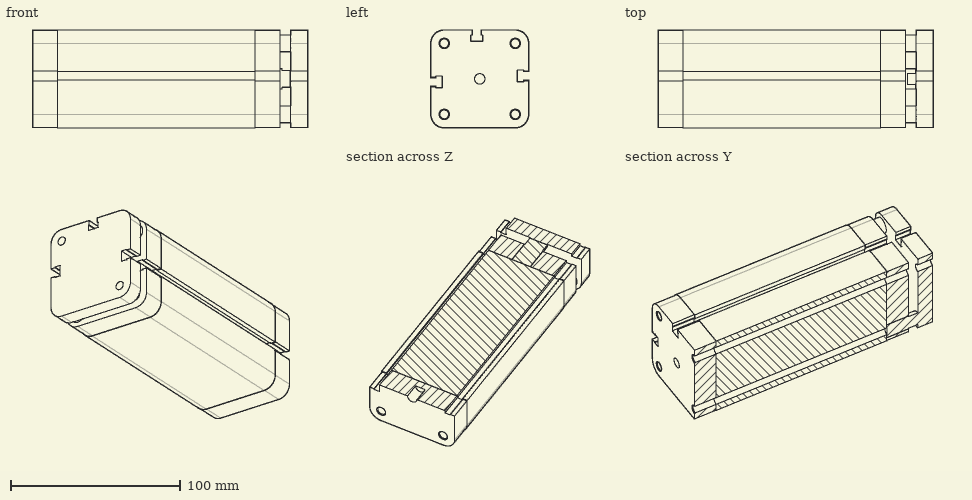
import cadquery as cq


LENGTH = 162.5
CAP_LENGTH = 14.8
BARREL_LENGTH = 116.5
PLATE_THICKNESS = 10.2
BARREL_END = CAP_LENGTH + BARREL_LENGTH
FRONT_CAP_END = BARREL_END + CAP_LENGTH
PLATE_START = LENGTH - PLATE_THICKNESS

BARREL_WIDTH = 58.0
CAP_WIDTH = 57.5
CORNER_OFFSET = 21.0

SLOT_OFFSET = 1.8
SLOT_FLOOR = 22.3
SLOT_NECK_BOTTOM = 25.8
CAP_NECK_WIDTH = 5.8
BARREL_NECK_WIDTH = 4.9
SLOT_WIDTH = 6.8
SLOT_ANGLES = (0, 90, -90)

HOLE_DIAMETER = 5.2
HOLE_CHAMFER = 0.5
PORT_DIAMETER = 6.2
PORT_DEPTH = 9.8

ROD_DIAMETER = 12.0
ROD_ACROSS_FLATS = 10.0
ROD_CHAMFER = 0.3
FLAT_SETBACK = 1.1
GUIDE_DIAMETER = 10.0

HOLE_CORNERS = [(CORNER_OFFSET * y, CORNER_OFFSET * z) for y in (-1, 1) for z in (-1, 1)]
GUIDE_CORNERS = [(CORNER_OFFSET, CORNER_OFFSET), (-CORNER_OFFSET, -CORNER_OFFSET)]
OPEN_CORNERS = [(-CORNER_OFFSET, CORNER_OFFSET), (CORNER_OFFSET, -CORNER_OFFSET)]


def cylinders(centres, diameter, start, end):
    """Round bars along X at the given (y, z) centres."""
    start_plane = cq.Workplane("YZ", origin=(start, 0, 0))
    return start_plane.pushPoints(centres).circle(diameter / 2).extrude(end - start)


def slot_cutter(start, end, neck_width):
    """T-slot in the +Z side."""

    def bar(width, bottom, top):
        return (
            cq.Workplane("YZ", origin=(start, 0, 0))
            .center(SLOT_OFFSET, (bottom + top) / 2)
            .rect(width, top - bottom)
            .extrude(end - start)
        )

    return bar(SLOT_WIDTH, SLOT_FLOOR, SLOT_NECK_BOTTOM).union(bar(neck_width, SLOT_FLOOR, BARREL_WIDTH / 2))


def slotted_block(start, end, width, neck_width):
    """Square bar along X with rounded long edges and the three T-slots."""
    block = (
        cq.Workplane("YZ", origin=(start, 0, 0))
        .rect(width, width)
        .extrude(end - start)
        .edges("|X")
        .fillet(width / 2 - CORNER_OFFSET)
    )
    cutter = slot_cutter(start, end, neck_width)
    for angle in SLOT_ANGLES:
        block = block.cut(cutter.rotate((0, 0, 0), (1, 0, 0), angle))
    return block


def make_rear_cap():
    cap = slotted_block(0, CAP_LENGTH, CAP_WIDTH, CAP_NECK_WIDTH)
    cap = cap.cut(cylinders(HOLE_CORNERS, HOLE_DIAMETER, 0, CAP_LENGTH))
    hole_rims = cap.faces("<X").edges("%CIRCLE").edges(cq.selectors.RadiusNthSelector(0))
    cap = hole_rims.chamfer(HOLE_CHAMFER)
    return cap.cut(cylinders([(0, 0)], PORT_DIAMETER, 0, PORT_DEPTH))


def make_barrel():
    barrel = slotted_block(CAP_LENGTH, BARREL_END, BARREL_WIDTH, BARREL_NECK_WIDTH)
    return barrel.cut(cylinders(HOLE_CORNERS, HOLE_DIAMETER, CAP_LENGTH, BARREL_END))


def make_front_cap():
    cap = slotted_block(BARREL_END, FRONT_CAP_END, CAP_WIDTH, CAP_NECK_WIDTH)
    cap = cap.cut(cylinders(OPEN_CORNERS, HOLE_DIAMETER, BARREL_END, FRONT_CAP_END))
    cap = cap.cut(cylinders(GUIDE_CORNERS, GUIDE_DIAMETER, BARREL_END, FRONT_CAP_END))
    return cap.cut(cylinders([(0, 0)], ROD_DIAMETER, BARREL_END, FRONT_CAP_END))


def make_piston_rod():
    """Rod from the barrel to the plate, with wrench flats on its +Z and -Z sides."""
    rod = cylinders([(0, 0)], ROD_DIAMETER, BARREL_END, PLATE_START).faces(">X").chamfer(ROD_CHAMFER)
    flat_start = FRONT_CAP_END + FLAT_SETBACK
    round_part = cylinders([(0, 0)], ROD_DIAMETER, BARREL_END, flat_start)
    flat_part = (
        cq.Workplane("YZ", origin=(flat_start, 0, 0))
        .rect(ROD_DIAMETER, ROD_ACROSS_FLATS)
        .extrude(PLATE_START - flat_start)
    )
    return rod.intersect(round_part.union(flat_part))


def make_guide_yoke():
    """Front plate carrying two diagonal guide rods that slide in the front cap."""
    plate = slotted_block(PLATE_START, LENGTH, CAP_WIDTH, CAP_NECK_WIDTH)
    plate = plate.cut(cylinders(OPEN_CORNERS, HOLE_DIAMETER, PLATE_START, LENGTH))
    return plate.union(cylinders(GUIDE_CORNERS, GUIDE_DIAMETER, BARREL_END, PLATE_START))


rear_cap = make_rear_cap()
barrel = make_barrel()
front_cap = make_front_cap()
piston_rod = make_piston_rod()
guide_yoke = make_guide_yoke()

result = cq.Compound.makeCompound(
    [rear_cap.val(), barrel.val(), front_cap.val(), piston_rod.val(), guide_yoke.val()]
)